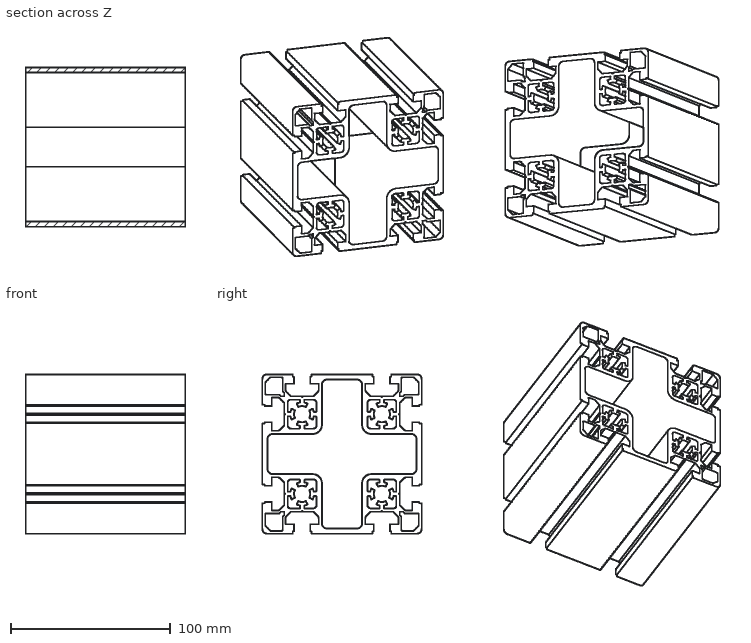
import cadquery as cq
import math

side = 100.0
length = 100.0
outer_radius = 3.0

core_offset = side / 4
face = side / 4

skin = 3.4
chamber_half_width = 12.5
chamber_end_radius = 3.0
chamber_inner_radius = 6.0

mouth_half_width = 5.8
neck_half_width = 5.0
mouth_depth = 1.5
lip_depth = 6.0
slot_half_width = 10.3
slot_depth = 13.7
slot_bevel = 3.2
lip_radius = 0.5
bevel_radius = 1.5
groove_half_width = 0.6
groove_depth = 0.6

hollow_wall = 1.9
hollow_inset = 12.7
hollow_bevel = 3.2
hollow_corner_radius = 0.5
hollow_notch_inset = slot_depth
hollow_notch_length = 2.1

core_half_width = 9.0
core_outer_radius = 1.5
core_radius = 2.0
web_half_width = 1.4
web_root_radius = 0.7
bore_radius = 5.0
pad_radius = 7.5
pad_half_angle = math.radians(28)


def extrude(outline):
    """Run a section outline along the whole profile."""
    return outline.extrude(length)


def section():
    """Sketch plane of the section: local x is Y, local y is Z."""
    return cq.Workplane("YZ", origin=(-length / 2, 0, 0))


def edge_near(body, y, z):
    """Lengthwise edge closest to a point of the section."""
    return body.edges(cq.selectors.NearestToPointSelector((0, y, z)))


def make_chamber():
    """Cross-shaped void, rounded at its arm ends and its inner corners."""
    long_side = side - 2 * skin
    short_side = 2 * chamber_half_width
    upright = extrude(section().rect(short_side, long_side)).edges("|X").fillet(chamber_end_radius)
    level = extrude(section().rect(long_side, short_side)).edges("|X").fillet(chamber_end_radius)
    chamber = upright.union(level)
    for y in (-chamber_half_width, chamber_half_width):
        for z in (-chamber_half_width, chamber_half_width):
            chamber = edge_near(chamber, y, z).fillet(chamber_inner_radius)
    return chamber


def make_slot():
    """T-slot opening through the +Z face, centred above the core."""
    floor = face - slot_depth
    half = [
        (mouth_half_width, face),
        (mouth_half_width, face - mouth_depth),
        (neck_half_width, face - mouth_depth),
        (neck_half_width, face - lip_depth),
        (slot_half_width, face - lip_depth),
        (slot_half_width, floor + slot_bevel),
        (slot_half_width - slot_bevel, floor),
        (groove_half_width, floor),
    ]
    mirrored = [(-y, z) for y, z in reversed(half)]
    slot = extrude(section().polyline(half + [(0, floor - groove_depth)] + mirrored).close())
    for edge_side in (-1, 1):
        slot = edge_near(slot, edge_side * neck_half_width, face - mouth_depth).fillet(lip_radius)
        slot = edge_near(slot, edge_side * slot_half_width, floor + slot_bevel).fillet(bevel_radius)
    return slot


def make_corner_hollow():
    """Bevelled square void with a small notch pointing at the core."""
    near = face - hollow_wall
    far = face - hollow_inset
    notch = face - hollow_notch_inset
    notch_end = notch + hollow_notch_length
    notch_start = notch_end + far - notch
    points = [
        (far, near),
        (near - hollow_bevel, near),
        (near, near - hollow_bevel),
        (near, far),
        (notch_start, far),
        (notch_end, notch),
        (notch, notch),
        (notch, notch_end),
        (far, notch_start),
    ]
    hollow = extrude(section().polyline(points).close())
    for y, z in ((near, far), (far, near)):
        hollow = edge_near(hollow, y, z).fillet(hollow_corner_radius)
    return hollow


def on_circle(radius, angle):
    """Point at an angle measured from the local vertical."""
    return (radius * math.sin(angle), radius * math.cos(angle))


def make_pad():
    """Web from the +Z core wall, ending in a pad that follows the screw bore."""
    pad = extrude(
        section()
        .moveTo(*on_circle(bore_radius, -pad_half_angle))
        .threePointArc((0, bore_radius), on_circle(bore_radius, pad_half_angle))
        .lineTo(*on_circle(pad_radius, pad_half_angle))
        .threePointArc((0, pad_radius), on_circle(pad_radius, -pad_half_angle))
        .close()
    )
    middle_radius = (bore_radius + pad_radius) / 2
    web_length = core_half_width - middle_radius
    web = extrude(section().center(0, middle_radius + web_length / 2).rect(2 * web_half_width, web_length))
    return pad.union(web)


def make_core_void():
    """Square void around the screw core, less its four webs and pads."""
    reach = core_half_width
    void = extrude(section().rect(2 * reach, 2 * reach))
    void = edge_near(void, reach, reach).fillet(core_outer_radius)
    for y, z in ((-reach, -reach), (reach, -reach), (-reach, reach)):
        void = edge_near(void, y, z).fillet(core_radius)

    pad = make_pad()
    for angle in (0, 90, 180, 270):
        void = void.cut(pad.rotate((0, 0, 0), (1, 0, 0), angle))

    for across in (-web_half_width, web_half_width):
        void = edge_near(void, across, -reach).fillet(web_root_radius)
        void = edge_near(void, -reach, across).fillet(web_root_radius)
    return void


top_slot = make_slot()
side_slot = top_slot.rotate((0, 0, 0), (1, 0, 0), -90)
quarter_voids = [top_slot, side_slot, make_corner_hollow(), make_core_void()]

result = extrude(section().rect(side, side)).edges("|X").fillet(outer_radius).cut(make_chamber())
for void in quarter_voids:
    upper_right = void.translate((0, core_offset, core_offset))
    upper_left = upper_right.mirror("XZ")
    for upper in (upper_right, upper_left):
        result = result.cut(upper).cut(upper.mirror("XY"))

for core in (-core_offset, core_offset):
    for lip in (core - mouth_half_width, core + mouth_half_width):
        for outer in (-side / 2, side / 2):
            result = edge_near(result, lip, outer).fillet(lip_radius)
            result = edge_near(result, outer, lip).fillet(lip_radius)